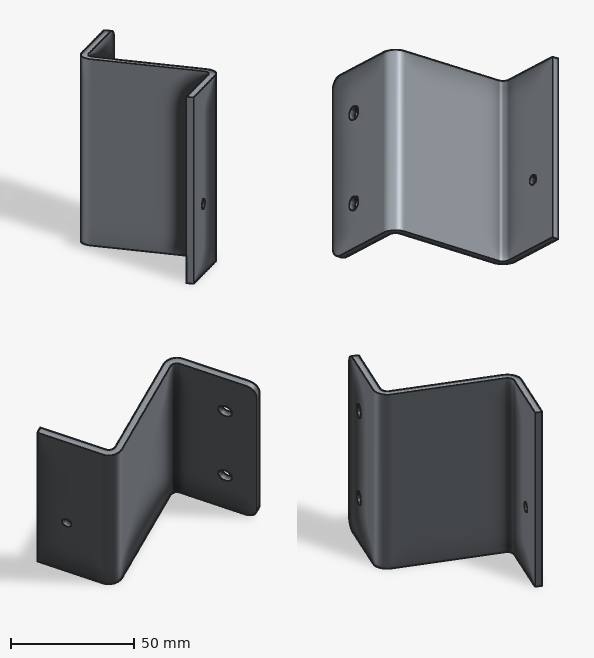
import cadquery as cq

width = 60.0
depth = 72.0
height = 80.0

outer_bend_radius = 6.0
inner_bend_radius = outer_bend_radius / 2
thickness = outer_bend_radius - inner_bend_radius

left_flange_length = 40.0
left_corner_radius = 5.0
web_front = depth - left_flange_length
web_back = web_front + thickness

left_hole_diameter = 6.0
left_hole_edge_distance = 14.0
left_hole_spacing = height / 2
right_hole_diameter = 4.2
right_hole_edge_distance = 13.0
right_hole_height = 30.0


def bent_sheet():
    """Extrude the Z outline, then round the long edges of both bends."""
    outline = [
        (0, depth),
        (0, web_front),
        (width - thickness, web_front),
        (width - thickness, 0),
        (width, 0),
        (width, web_back),
        (thickness, web_back),
        (thickness, depth),
    ]
    sheet = cq.Workplane("XY").polyline(outline).close().extrude(height)

    outer_corners = [(0, web_front), (width, web_back)]
    inner_corners = [(thickness, web_back), (width - thickness, web_front)]
    for corners, radius in (
        (outer_corners, outer_bend_radius),
        (inner_corners, inner_bend_radius),
    ):
        for x, y in corners:
            edge = cq.selectors.NearestToPointSelector((x, y, height / 2))
            sheet = sheet.edges("|Z").edges(edge).fillet(radius)
    return sheet


def cross_hole(start_x, y, z, diameter):
    """Cylinder along X that passes through one flange."""
    return (
        cq.Workplane("YZ", origin=(start_x, y, z))
        .circle(diameter / 2)
        .extrude(thickness)
    )


result = bent_sheet().faces(">Y").edges("|X").fillet(left_corner_radius)

for side in (-1, 1):
    hole_z = height / 2 + side * left_hole_spacing / 2
    hole_y = depth - left_hole_edge_distance
    result = result.cut(cross_hole(0, hole_y, hole_z, left_hole_diameter))

result = result.cut(
    cross_hole(
        width - thickness,
        right_hole_edge_distance,
        right_hole_height,
        right_hole_diameter,
    )
)